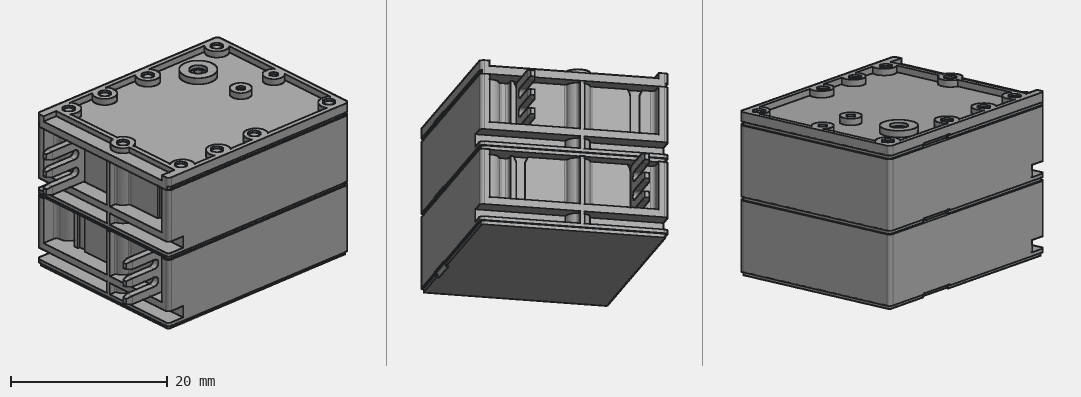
import cadquery as cq
import math

width = 24.7
depth = 31.33
total_height = 21.8
cover_height = 1.8
housing_height = (total_height - cover_height) / 2
corner_radius = 0.53
half_width = width / 2
cover_base = total_height - cover_height

lip_height = 0.5
lip_inset = 0.3

notch_y = 19.22
notch_length = 5.03
notch_height = 0.65
notch_bottom_depth = 0.65
notch_top_depth = 0.3

post_radius = 1.6
side_peg_x = 10.55
corner_post_y = 3.85
center_post_x = 1.05
center_post_y = 2.55
middle_peg_x = 0.15
back_peg_y = 29.52
right_boss_shift = 0.3
left_peg_ys = [corner_post_y, 10.1, 17.55, back_peg_y]
right_peg_ys = [corner_post_y, 10.1, 16.55, back_peg_y]

peg_radius = 0.8
small_peg_radius = 0.55
small_boss_radius = 1.4
peg_sink = 0.2
peg_chamfer = 0.15

large_pegs = [(-side_peg_x, y) for y in left_peg_ys]
large_pegs += [(side_peg_x, y) for y in right_peg_ys]
large_pegs += [(center_post_x, center_post_y)]
small_pegs = [(middle_peg_x, back_peg_y), (middle_peg_x, 23.82)]

sleeve_x = -7.33
sleeve_y = 23.33
sleeve_radius = 1.17
sleeve_bore_radius = 0.55
sleeve_chamfer = 0.2
sleeve_sink = 0.35
sleeve_boss_radius = 2.45

cover_wall = 0.75
recess_depth = 0.9
recess_front_y = 2.95
step_depth = 0.75
step_length = 2.2

pocket_wall = 1.25
pocket_half_width = half_width - pocket_wall
pocket_floor = 3.6
pocket_depth = corner_post_y - post_radius
pocket_corner_radius = pocket_half_width - side_peg_x
inner_fillet = 0.3
recess_right_x = -7.8
recess_back_y = 3.58
recess_corner_radius = 0.4
rib_width = 0.6
groove_bottom = 1.0
groove_top = 2.62
groove_depth = center_post_y

slot_xs = [-6.48, 8.53]
slot_width = 1.25
slot_depth = 0.35
flare_width = 0.32
flare_height = 0.7

prong_count = 3
prong_pitch = 2.5
prong_height = 1.2
fork_thickness = 1.0
root_y = 1.35
tip_y = depth - 35.4
tip_length = 0.9
tip_taper = 0.2


def box(x0, x1, y0, y1, z0, z1):
    return cq.Workplane("XY").box(x1 - x0, y1 - y0, z1 - z0, centered=False).translate((x0, y0, z0))


def cylinder(x, y, radius, z0, z1):
    return cq.Workplane("XY").circle(radius).extrude(z1 - z0).translate((x, y, z0))


def outline_block(z0, z1):
    """Full outline with rounded upright corners."""
    block = box(-half_width, half_width, 0, depth, z0, z1)
    return block.edges("|Z").fillet(corner_radius)


def fillet_upright(solid, x, y, radius):
    """Round the upright edge nearest to (x, y)."""
    return solid.edges("|Z").edges(cq.NearestToPointSelector((x, y, solid.val().Center().z))).fillet(radius)


def prying_notch(z0):
    """Wedge that takes away the -X bottom edge of a body whose underside is at z0."""
    profile = [(0, 0), (notch_bottom_depth, 0), (notch_top_depth, notch_height), (0, notch_height)]
    wedge = cq.Workplane("XZ").polyline(profile).close().extrude(-notch_length)
    return wedge.translate((-half_width, notch_y, z0))


def center_post(z0, z1):
    """Round post with a rib that reaches the front face, filleted where they meet."""
    post = cylinder(center_post_x, center_post_y, post_radius, z0, z1)
    rib_left = center_post_x - rib_width / 2
    rib_right = center_post_x + rib_width / 2
    post = post.union(box(rib_left, rib_right, 0, center_post_y, z0, z1))
    meet_y = center_post_y - math.sqrt(post_radius**2 - (rib_width / 2) ** 2)
    for x in (rib_left, rib_right):
        post = fillet_upright(post, x, meet_y, inner_fillet)
    return post


def front_pocket():
    """Space behind the front opening, with a deeper recess beside the left corner post."""
    z0 = pocket_floor
    z1 = housing_height
    space = box(-pocket_half_width, pocket_half_width, 0, pocket_depth, z0, z1)
    for x in (-pocket_half_width, pocket_half_width):
        space = fillet_upright(space, x, pocket_depth, pocket_corner_radius)
    space = space.union(box(-side_peg_x, recess_right_x, 0, recess_back_y, z0, z1))
    space = space.cut(cylinder(-side_peg_x, corner_post_y, post_radius, z0, z1))
    space = fillet_upright(space, recess_right_x, recess_back_y, recess_corner_radius)

    corner_reach = math.sqrt(post_radius**2 - (corner_post_y - recess_back_y) ** 2)
    space = fillet_upright(space, -side_peg_x + corner_reach, recess_back_y, inner_fillet)

    space = space.cut(cylinder(center_post_x, center_post_y, post_radius, z0, z1))
    center_reach = math.sqrt(post_radius**2 - (center_post_y - pocket_depth) ** 2)
    for side in (-1, 1):
        space = fillet_upright(space, center_post_x + side * center_reach, pocket_depth, inner_fillet)
    return space.cut(center_post(z0, z1))


def front_groove():
    """Groove along the whole front, open at both ends and crossed by the center post."""
    groove = box(-half_width, half_width, 0, groove_depth, groove_bottom, groove_top)
    return groove.cut(center_post(groove_bottom, groove_top))


def fork_slot(x):
    """Upright slot that flares out at the top edge."""
    half = slot_width / 2
    right_side = [(half, pocket_floor), (half, housing_height - flare_height), (half + flare_width, housing_height)]
    left_side = [(-across, z) for across, z in reversed(right_side)]
    slot = cq.Workplane("XZ").polyline(right_side + left_side).close().extrude(-slot_depth)
    return slot.translate((x, pocket_depth, 0))


def make_housing():
    housing = outline_block(lip_height, housing_height)
    lip = cq.Workplane(outline_block(0, lip_height).faces("<Z").wires().val()).toPending()
    lip = lip.offset2D(-lip_inset).extrude(lip_height)
    housing = housing.union(lip)
    housing = housing.cut(front_pocket()).cut(front_groove()).cut(prying_notch(0))
    for x in slot_xs:
        housing = housing.cut(fork_slot(x))
    return housing


def make_peg(x, y, radius):
    """Peg with a chamfered end that rises from the upper housing into the cover."""
    peg = cylinder(x, y, radius, cover_base, total_height - peg_sink)
    return peg.faces(">Z").chamfer(peg_chamfer)


def cover_bosses():
    z0 = cover_base + lip_height
    bosses = cylinder(sleeve_x, sleeve_y, sleeve_boss_radius, z0, total_height)
    for x, y in large_pegs:
        shift = right_boss_shift if x == side_peg_x else 0
        bosses = bosses.union(cylinder(x + shift, y, post_radius, z0, total_height))
    for x, y in small_pegs:
        bosses = bosses.union(cylinder(x, y, small_boss_radius, z0, total_height))
    return bosses


def make_cover():
    cover = outline_block(cover_base, total_height)
    lip_zone = box(-half_width, half_width, 0, depth, cover_base, cover_base + lip_height)
    lip = box(-half_width + lip_inset, half_width - lip_inset, 0, depth - lip_inset,
              cover_base, cover_base + lip_height)
    lip = lip.edges("|Z and >Y").fillet(corner_radius - lip_inset)
    cover = cover.cut(lip_zone.cut(lip))

    recess_half = half_width - cover_wall
    recess = box(-recess_half, recess_half, recess_front_y, depth - cover_wall,
                 total_height - recess_depth, total_height)
    step = box(-pocket_half_width, pocket_half_width, 0, step_length,
               total_height - step_depth, total_height)
    cover = cover.cut(recess.union(step).cut(cover_bosses()))

    for x, y in large_pegs:
        cover = cover.cut(cylinder(x, y, peg_radius, cover_base, total_height))
    for x, y in small_pegs:
        cover = cover.cut(cylinder(x, y, small_peg_radius, cover_base, total_height))
    cover = cover.cut(cylinder(sleeve_x, sleeve_y, sleeve_radius, cover_base, total_height))
    return cover.cut(prying_notch(cover_base))


def make_sleeve():
    """Chamfered tube that stands on the upper housing and passes through the cover."""
    top = total_height - sleeve_sink
    sleeve = cylinder(sleeve_x, sleeve_y, sleeve_radius, cover_base, top)
    sleeve = sleeve.faces(">Z").chamfer(sleeve_chamfer)
    return sleeve.cut(cylinder(sleeve_x, sleeve_y, sleeve_bore_radius, cover_base, top))


def make_fork(x, z):
    """Three-pronged plate with round roots and tapered tips, standing on the pocket floor at z."""
    back_y = pocket_depth + slot_depth
    half = fork_thickness / 2
    plate_height = (prong_count - 1) * prong_pitch + prong_height
    fork = box(-half, half, root_y, back_y, 0, plate_height)
    gap = prong_pitch - prong_height
    for prong in range(prong_count):
        prong_z = prong * prong_pitch
        fork = fork.union(box(-half, half, tip_y + tip_length, root_y, prong_z, prong_z + prong_height))
        tip = cq.Workplane("XZ", origin=(0, tip_y + tip_length, prong_z + prong_height / 2))
        tip = tip.rect(fork_thickness, prong_height).workplane(offset=tip_length)
        tip = tip.rect(fork_thickness - 2 * tip_taper, prong_height - 2 * tip_taper).loft(ruled=True)
        fork = fork.union(tip)
    for lower in range(prong_count - 1):
        gap_z = lower * prong_pitch + prong_height
        web = box(-half, half, root_y - gap / 2, root_y, gap_z, gap_z + gap)
        root = cq.Workplane("YZ").center(root_y - gap / 2, gap_z + gap / 2).circle(gap / 2)
        fork = fork.union(web.cut(root.extrude(half, both=True)))
    return fork.translate((x, 0, z))


lower_housing = make_housing()
upper_housing = make_housing().translate((0, 0, housing_height))
for x, y in large_pegs:
    upper_housing = upper_housing.union(make_peg(x, y, peg_radius))
for x, y in small_pegs:
    upper_housing = upper_housing.union(make_peg(x, y, small_peg_radius))
cover = make_cover()
sleeve = make_sleeve()

forks = [
    make_fork(slot_xs[1 - level], level * housing_height + pocket_floor).val() for level in range(2)
]

result = cq.Compound.makeCompound(
    [lower_housing.val(), upper_housing.val(), cover.val(), sleeve.val(), *forks]
)